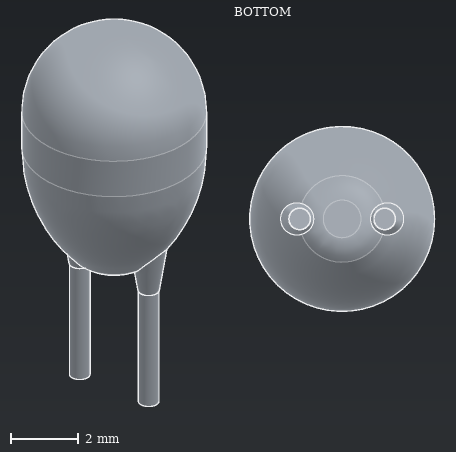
import cadquery as cq
import math

overall_height = 12.5
bulb_radius = 2.75
bulb_height = 8.0
band_height = 1.25
flank_radius = 5.38
bottom_round = 1.0

lead_pitch = 2.52
lead_radius = 0.31
collar_bottom = 3.92
collar_bottom_radius = 0.32
collar_top_radius = 0.58
collar_taper_height = 1.62

bulb_bottom = overall_height - bulb_height
band_top = overall_height - bulb_radius
band_bottom = band_top - band_height
lead_positions = (-lead_pitch / 2, lead_pitch / 2)


def arc_point(center, radius, angle):
    """Point in the (r, z) half plane, at an angle measured down from horizontal."""
    return (center[0] + radius * math.cos(angle), center[1] - radius * math.sin(angle))


def make_bulb():
    """Domed top, cylindrical band, and a flank arc tangent to the bottom rounding."""
    dome_center = (0, band_top)
    flank_center = (bulb_radius - flank_radius, band_bottom)
    round_drop = band_bottom - (bulb_bottom + bottom_round)
    tangent_angle = math.asin(round_drop / (flank_radius - bottom_round))
    round_center = arc_point(flank_center, flank_radius - bottom_round, tangent_angle)
    round_middle_angle = (tangent_angle + math.pi / 2) / 2

    return (
        cq.Workplane("XZ")
        .moveTo(0, overall_height)
        .threePointArc(arc_point(dome_center, bulb_radius, -math.pi / 4), (bulb_radius, band_top))
        .lineTo(bulb_radius, band_bottom)
        .threePointArc(
            arc_point(flank_center, flank_radius, tangent_angle / 2),
            arc_point(flank_center, flank_radius, tangent_angle),
        )
        .threePointArc(
            arc_point(round_center, bottom_round, round_middle_angle),
            (round_center[0], bulb_bottom),
        )
        .lineTo(0, bulb_bottom)
        .close()
        .revolve(360, (0, 0), (0, 1))
    )


def make_collar(x, bulb):
    """Cone that widens upward and ends against the surface of the bulb."""
    cone = cq.Solid.makeCone(
        collar_bottom_radius,
        collar_top_radius,
        collar_taper_height,
        cq.Vector(x, 0, collar_bottom),
    )
    return cq.Workplane(cone).cut(bulb).solids()


def make_lead(x):
    """Round wire from the free end up to the underside of its collar."""
    return cq.Workplane("XY").center(x, 0).circle(lead_radius).extrude(collar_bottom)


bulb = make_bulb()
collars = [make_collar(x, bulb) for x in lead_positions]
leads = [make_lead(x) for x in lead_positions]

result = cq.Compound.makeCompound(
    [
        bulb.val(),
        *[collar.val() for collar in collars],
        *[lead.val() for lead in leads],
    ]
)